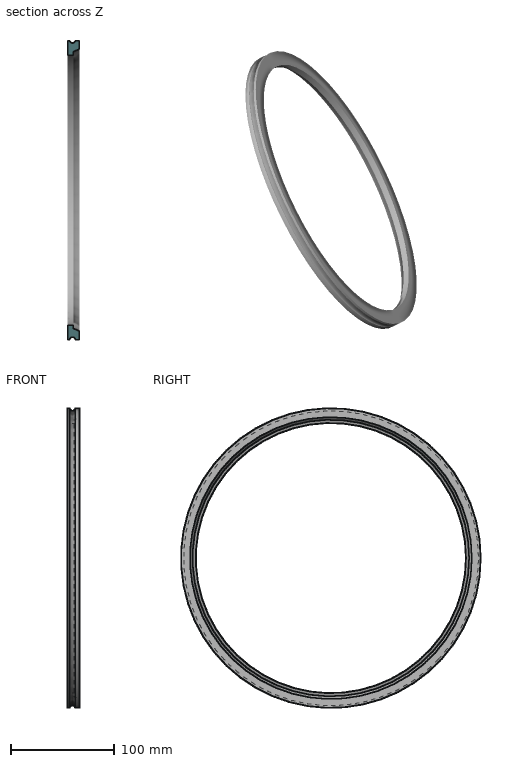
import cadquery as cq

outer_diameter = 290.0
bore_diameter = 261.0
width = 12.0

groove_floor_diameter = 285.0
groove_width = 5.2
groove_center_from_front = 5.0

recess_floor_diameter = 267.5
recess_mouth_diameter = 272.5
recess_depth = width / 2

front_x = -width / 2
back_x = width / 2
outer_radius = outer_diameter / 2
bore_radius = bore_diameter / 2
groove_x = front_x + groove_center_from_front
recess_floor_x = back_x - recess_depth

section = (
    cq.Workplane("XY")
    .moveTo(front_x, bore_radius)
    .lineTo(front_x, outer_radius)
    .lineTo(groove_x - groove_width / 2, outer_radius)
    .threePointArc(
        (groove_x, groove_floor_diameter / 2),
        (groove_x + groove_width / 2, outer_radius),
    )
    .lineTo(back_x, outer_radius)
    .lineTo(back_x, recess_mouth_diameter / 2)
    .lineTo(recess_floor_x, recess_floor_diameter / 2)
    .lineTo(recess_floor_x, bore_radius)
    .close()
)

full_turn = 360
result = section.revolve(full_turn, (0, 0, 0), (1, 0, 0))